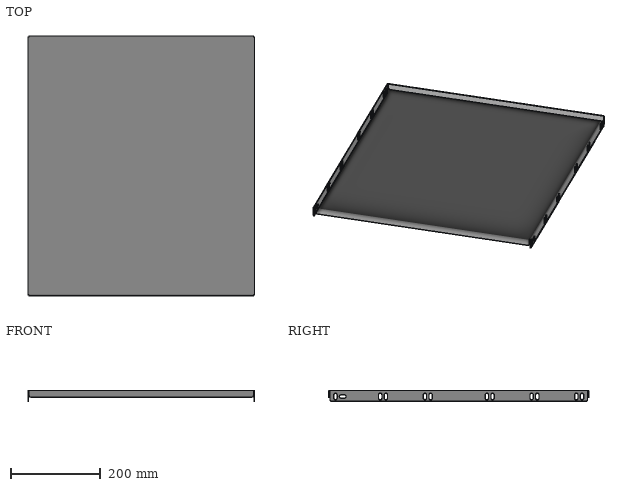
import cadquery as cq

length_x = 506.0
length_y = 580.0
side_flange_height = 25.0
end_flange_height = 15.5
sheet = 1.5
bend_radius = 2.45
flange_corner_radius = 4.5

slot_length = 14.5
slot_width = 7.0
slot_depth_below_top = 14.0
slot_pair_pitch = 100.0
slot_pair_spacing = 13.0
outermost_slot_y = 275.0
pairs_per_half = 3
level_slot_y = -258.5

VERTICAL = 90
LEVEL = 0


def folded_channel(width, height, run):
    """Channel open downward: width along X, run along Y, top face at Z = 0."""
    outer = cq.Workplane("XY").box(width, run, height, centered=(True, True, False))
    outer = outer.translate((0, 0, -height)).edges("|Y and >Z").fillet(bend_radius)

    inner_width = width - 2 * sheet
    inner = cq.Workplane("XY").box(inner_width, run, height, centered=(True, True, False))
    inner = inner.translate((0, 0, -height - sheet)).edges("|Y and >Z").fillet(bend_radius - sheet)

    channel = outer.cut(inner)
    return channel.edges("|X and <Z").fillet(flange_corner_radius)


def slot_places():
    """Y position and angle of every slot; the lone level slot replaces an upright one."""
    places = []
    for index in range(pairs_per_half):
        outer_y = outermost_slot_y - index * slot_pair_pitch
        inner_y = outer_y - slot_pair_spacing
        places += [(outer_y, VERTICAL), (inner_y, VERTICAL), (-outer_y, VERTICAL)]
        if index > 0:
            places.append((-inner_y, VERTICAL))
    places.append((level_slot_y, LEVEL))
    return places


def slot_cutter(y, angle):
    """Round-ended bar along X that passes through both side flanges."""
    bar = cq.Workplane("YZ").center(y, -slot_depth_below_top)
    return bar.slot2D(slot_length, slot_width, angle).extrude(length_x, both=True)


sides = folded_channel(length_x, side_flange_height, length_y - 2 * bend_radius)
ends = folded_channel(length_y, end_flange_height, length_x - 2 * bend_radius)
ends = ends.rotate((0, 0, 0), (0, 0, 1), 90)
result = sides.union(ends)

for slot_y, slot_angle in slot_places():
    result = result.cut(slot_cutter(slot_y, slot_angle))